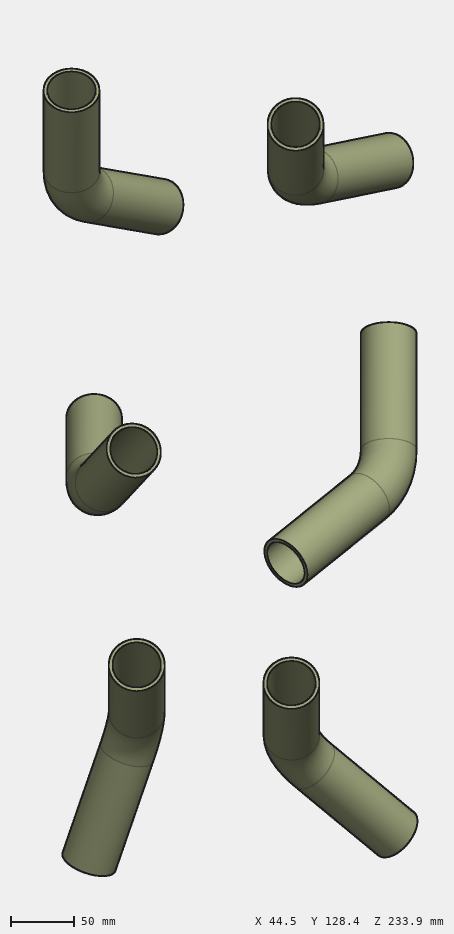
import cadquery as cq
import math

outer_diameter = 44.5
bore_diameter = 38.5
leg_length = 101.5
bend_radius = 63.5
bend_angle = math.radians(45)



def bend_point(angle):
    """Centreline point (y, z) after turning through the given angle."""
    return (bend_radius * (1 - math.cos(angle)), -bend_radius * math.sin(angle))


bend_end = bend_point(bend_angle)
lower_end = (
    bend_end[0] + leg_length * math.sin(bend_angle),
    bend_end[1] - leg_length * math.cos(bend_angle),
)

centreline = (
    cq.Workplane("YZ")
    .moveTo(0, leg_length)
    .lineTo(0, 0)
    .threePointArc(bend_point(bend_angle / 2), bend_end)
    .lineTo(*lower_end)
)

result = (
    cq.Workplane("XY")
    .workplane(offset=leg_length)
    .circle(outer_diameter / 2)
    .circle(bore_diameter / 2)
    .sweep(centreline)
)